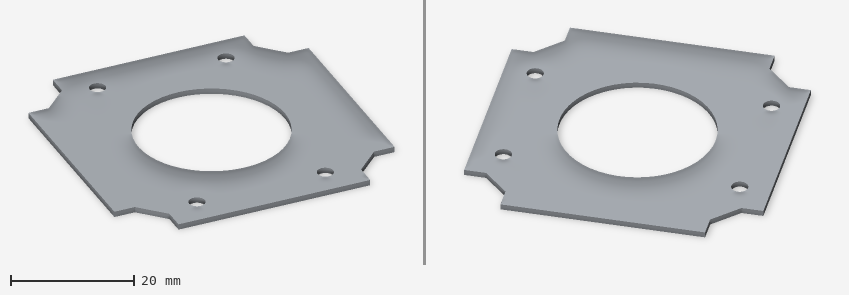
import cadquery as cq

side = 49.8
thickness = 1.0

notch_size = 7.85
notch_edge = 3.65

center_hole_diameter = 26.0
mount_hole_diameter = 2.8
mount_spacing_x = 39.35
mount_spacing_y = 22.8


def corner_cutter(sign_x, sign_y):
    """Five-sided prism removed from one corner of the plate."""
    outer = side / 2
    inner = outer - notch_size
    slope_start = outer - notch_edge
    outline = [
        (outer, outer),
        (inner, outer),
        (inner, slope_start),
        (slope_start, inner),
        (outer, inner),
    ]
    points = [(sign_x * x, sign_y * y) for x, y in outline]
    return cq.Workplane("XY").polyline(points).close().extrude(thickness)


plate = cq.Workplane("XY").rect(side, side).extrude(thickness)
for sign_x in (-1, 1):
    for sign_y in (-1, 1):
        plate = plate.cut(corner_cutter(sign_x, sign_y))

plate = plate.faces(">Z").workplane(origin=(0, 0, thickness)).hole(center_hole_diameter)
result = (
    plate.faces(">Z")
    .workplane(origin=(0, 0, thickness))
    .rarray(mount_spacing_x, mount_spacing_y, 2, 2)
    .hole(mount_hole_diameter)
)